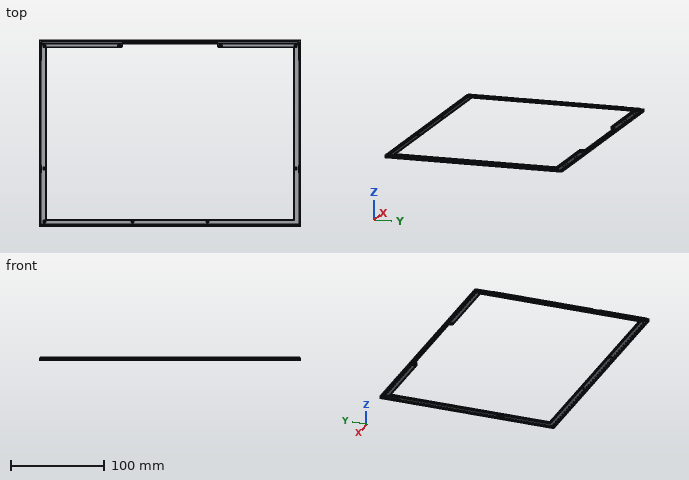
import cadquery as cq

LENGTH = 280.0
WIDTH = 200.0
HEIGHT = 2.95
HALF_LENGTH = LENGTH / 2
HALF_WIDTH = WIDTH / 2
OUTER_CORNER_RADIUS = 1.0

FLANGE_THICKNESS = 2.0
SIDE_LEDGE = 1.0
FRONT_LEDGE = 2.0
BACK_LEDGE = 4.0
RIM_CORNER_RADIUS = 1.5

RECESS_DEPTH = 1.0
FRONT_WALL = 0.8
BACK_WALL = 2.0
RECESS_CORNER_RADIUS = 1.0

SIDE_BAR = 7.0
FRONT_BAR = 7.0
BACK_BAR = 8.0

BACK_GAP_LENGTH = 102.4
TAB_CORNER_RADIUS = 2.5

NOTCH_LEDGE = 2.0
NOTCH_RADIUS = 0.95
BACK_NOTCH_LENGTH = 21.2
MID_NOTCH_LENGTH = 7.5
MID_NOTCH_Y = -38.6

SCREW_HOLE_DIAMETER = 2.2
SMALL_HOLE_DIAMETER = 1.8
HOLE_INSET = 5.0
BACK_HOLE_INSET = 6.4
TAB_HOLE_X = 54.5
MID_HOLE_Y = -38.0
SMALL_HOLE_X = 40.3


def block(x_min, x_max, y_min, y_max, z_min, z_max):
    """Box given by its limits along each axis."""
    size = (x_max - x_min, y_max - y_min, z_max - z_min)
    return cq.Workplane("XY").box(*size, centered=False).translate((x_min, y_min, z_min))


def centred_block(half_x, y_min, y_max, z_min, z_max):
    """Box symmetric about the YZ plane."""
    return block(-half_x, half_x, y_min, y_max, z_min, z_max)


def notched_slab(front_inset, back_inset, corner_radius, z_min, z_max):
    """Slab set in from the frame's outline, notched along both sides."""
    y_min = -HALF_WIDTH + front_inset
    y_max = HALF_WIDTH - back_inset
    slab = centred_block(HALF_LENGTH - SIDE_LEDGE, y_min, y_max, z_min, z_max)
    back_notch = (HALF_WIDTH - BACK_NOTCH_LENGTH, HALF_WIDTH)
    mid_notch = (MID_NOTCH_Y - MID_NOTCH_LENGTH / 2, MID_NOTCH_Y + MID_NOTCH_LENGTH / 2)
    for notch_start, notch_end in (back_notch, mid_notch):
        notch = block(HALF_LENGTH - NOTCH_LEDGE, HALF_LENGTH, notch_start, notch_end, z_min, z_max)
        notch = notch.edges("|Z and <X").fillet(NOTCH_RADIUS)
        slab = slab.cut(notch).cut(notch.mirror("YZ"))
    return slab.edges("|Z").edges("<Y or >Y").fillet(corner_radius)


def flange():
    plate = centred_block(HALF_LENGTH, -HALF_WIDTH, HALF_WIDTH, 0, FLANGE_THICKNESS)
    return plate.edges("|Z").fillet(OUTER_CORNER_RADIUS)


def rim():
    return notched_slab(FRONT_LEDGE, BACK_LEDGE, RIM_CORNER_RADIUS, FLANGE_THICKNESS, HEIGHT)


def underside_recess():
    return notched_slab(FRONT_WALL, BACK_WALL, RECESS_CORNER_RADIUS, 0, RECESS_DEPTH)


def window():
    """Opening of the frame, extended between the two tabs on the back bar."""
    front_edge = -HALF_WIDTH + FRONT_BAR
    tab_edge = HALF_WIDTH - BACK_BAR
    gap_edge = HALF_WIDTH - BACK_LEDGE
    half_gap = BACK_GAP_LENGTH / 2
    opening = centred_block(HALF_LENGTH - SIDE_BAR, front_edge, tab_edge, 0, HEIGHT)
    gap = centred_block(half_gap, front_edge, gap_edge, 0, HEIGHT)
    opening = opening.union(gap)
    for side in (-1, 1):
        tab_corner = cq.selectors.NearestToPointSelector((side * half_gap, tab_edge, HEIGHT / 2))
        opening = opening.edges("|Z").edges(tab_corner).fillet(TAB_CORNER_RADIUS)
    return opening


def through_holes(points, diameter):
    return cq.Workplane("XY").pushPoints(points).circle(diameter / 2).extrude(HEIGHT)


def screw_holes():
    hole_x = HALF_LENGTH - HOLE_INSET
    back_y = HALF_WIDTH - BACK_HOLE_INSET
    points = [(-hole_x, -HALF_WIDTH + HOLE_INSET)]
    for side in (-1, 1):
        points.append((side * hole_x, back_y))
        points.append((side * TAB_HOLE_X, back_y))
        points.append((side * hole_x, MID_HOLE_Y))
    return through_holes(points, SCREW_HOLE_DIAMETER)


def small_holes():
    hole_y = -HALF_WIDTH + HOLE_INSET
    points = [(side * SMALL_HOLE_X, hole_y) for side in (-1, 1)]
    return through_holes(points, SMALL_HOLE_DIAMETER)


frame = flange().union(rim())
for cutter in (underside_recess(), window(), screw_holes(), small_holes()):
    frame = frame.cut(cutter)

result = frame